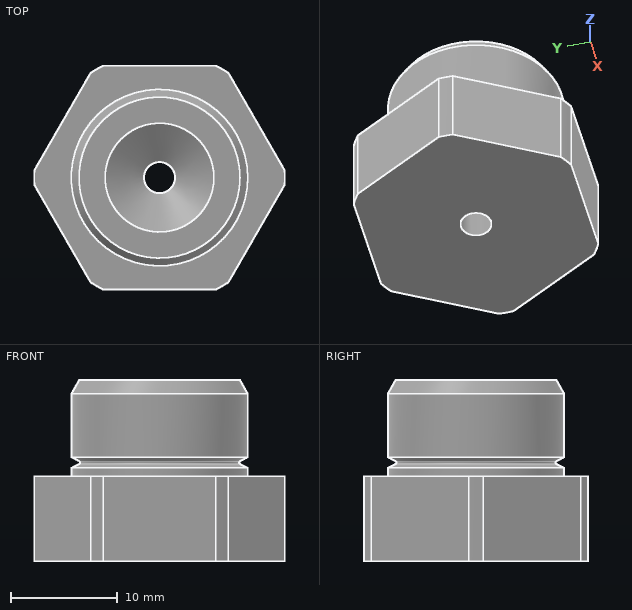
import cadquery as cq
import math

HEAD_HEIGHT = 8.0
ACROSS_FLATS = 21.0
ACROSS_CORNERS = 23.5

TOTAL_HEIGHT = 17.0
SPIGOT_DIAMETER = 16.55
TIP_DIAMETER = 15.09
TIP_CHAMFER_HEIGHT = 1.3

COLLAR_HEIGHT = 0.75
GROOVE_WIDTH = 1.0
GROOVE_HALF_ANGLE = math.radians(27.5)
GROOVE_ROOT_RADIUS = 0.145

BORE_DIAMETER = 10.2
BORE_DEPTH = 9.4
HOLE_DIAMETER = 2.9
CONE_ANGLE = math.radians(118)


def hexagon_head():
    sharp_corners = ACROSS_FLATS / math.cos(math.pi / 6)
    hexagon = cq.Workplane("XY").polygon(6, sharp_corners).extrude(HEAD_HEIGHT)
    corner_limit = cq.Workplane("XY").circle(ACROSS_CORNERS / 2).extrude(HEAD_HEIGHT)
    return hexagon.intersect(corner_limit)


def spigot():
    outer_radius = SPIGOT_DIAMETER / 2
    groove_bottom = HEAD_HEIGHT + COLLAR_HEIGHT
    groove_middle = groove_bottom + GROOVE_WIDTH / 2
    groove_top = groove_bottom + GROOVE_WIDTH

    sharp_root = outer_radius - GROOVE_WIDTH / 2 / math.tan(GROOVE_HALF_ANGLE)
    arc_centre = sharp_root + GROOVE_ROOT_RADIUS / math.sin(GROOVE_HALF_ANGLE)
    root_radius = arc_centre - GROOVE_ROOT_RADIUS
    tangent_radius = arc_centre - GROOVE_ROOT_RADIUS * math.sin(GROOVE_HALF_ANGLE)
    tangent_rise = GROOVE_ROOT_RADIUS * math.cos(GROOVE_HALF_ANGLE)

    profile = (
        cq.Workplane("XZ")
        .moveTo(0, HEAD_HEIGHT)
        .lineTo(outer_radius, HEAD_HEIGHT)
        .lineTo(outer_radius, groove_bottom)
        .lineTo(tangent_radius, groove_middle - tangent_rise)
        .threePointArc((root_radius, groove_middle), (tangent_radius, groove_middle + tangent_rise))
        .lineTo(outer_radius, groove_top)
        .lineTo(outer_radius, TOTAL_HEIGHT - TIP_CHAMFER_HEIGHT)
        .lineTo(TIP_DIAMETER / 2, TOTAL_HEIGHT)
        .lineTo(0, TOTAL_HEIGHT)
        .close()
    )
    return profile.revolve(360, (0, 0), (0, 1))


def bore_and_hole():
    bore_radius = BORE_DIAMETER / 2
    hole_radius = HOLE_DIAMETER / 2
    cone_top = TOTAL_HEIGHT - BORE_DEPTH
    cone_bottom = cone_top - (bore_radius - hole_radius) / math.tan(CONE_ANGLE / 2)
    profile = [
        (0, 0),
        (hole_radius, 0),
        (hole_radius, cone_bottom),
        (bore_radius, cone_top),
        (bore_radius, TOTAL_HEIGHT),
        (0, TOTAL_HEIGHT),
    ]
    return cq.Workplane("XZ").polyline(profile).close().revolve(360, (0, 0), (0, 1))


result = hexagon_head().union(spigot()).cut(bore_and_hole())